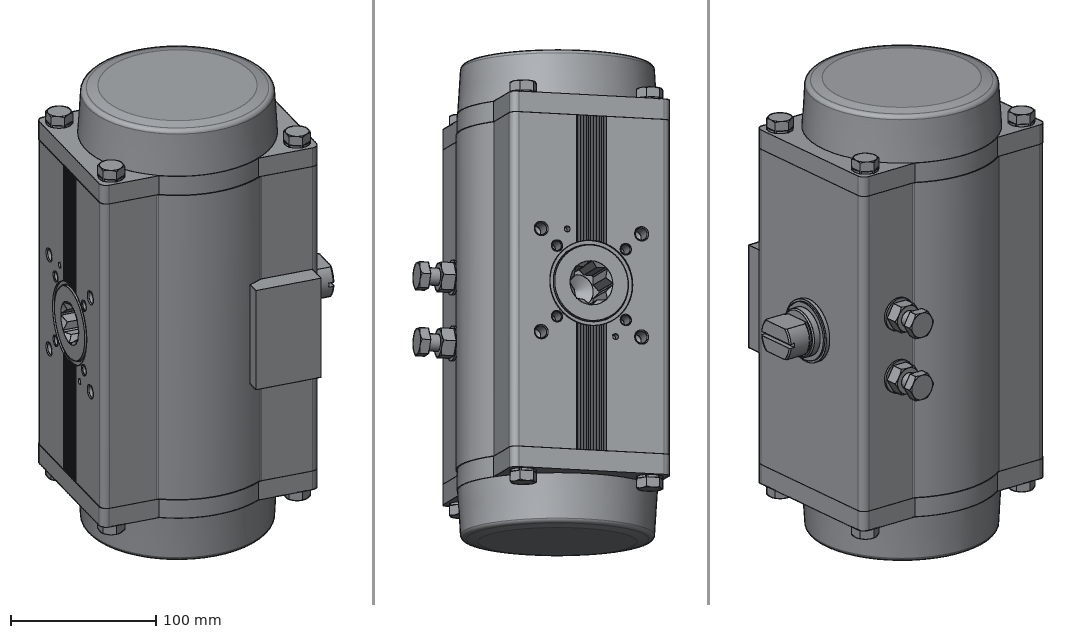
import cadquery as cq
import math


HALF_HEIGHT = 167.2
HOUSING_HALF_LENGTH = 117.0
PLATE_THICKNESS = 14.5
PLATE_TOP_Z = HOUSING_HALF_LENGTH + PLATE_THICKNESS
FACE_Y = 81.0
CAP_OVERHANG = 0.5
FRONT_HALF_WIDTH = 57.5
REAR_HALF_WIDTH = 59.5
CORNER_RADIUS = 5.5

BARREL_RADIUS = 70.0
BARREL_BLEND_RADIUS = 2.7
PAD_OUTER_X = 74.5
PAD_Y = (26.8, 75.5)
PAD_HALF_HEIGHT = 38.0
GROOVE_DIAMETER = 1.0
GROOVE_PITCH = 2.07
GROOVE_COUNT = 11
RECESS_DIAMETER = 59.5
RECESS_DEPTH = 1.5
OUTER_TAP_OFFSET = 36.0
OUTER_TAP_DIAMETER = 8.5
OUTER_TAP_MOUTH = 10.0
INNER_TAP_OFFSET = 24.7
INNER_TAP_DIAMETER = 6.7
INNER_TAP_MOUTH = 8.0
TAP_DEPTH = 15.0
DOWEL_X = 17.5
DOWEL_Z = 36.8
DOWEL_DIAMETER = 4.0
DOWEL_DEPTH = 6.7
DRILL_POINT_ANGLE = 118.0

CAP_PLATE_RADIUS = 69.2
DOME_BASE_RADIUS = 69.0
DOME_SHOULDER_RADIUS = 67.0
DOME_SHOULDER_DROP = 4.5
DOME_CROWN_RADIUS = 63.0
DOME_CROWN_DROP = 1.7
DOME_FLAT_RADIUS = 55.0
BOLT_Y = 69.2
FRONT_BOLT_X = 45.5
REAR_BOLT_X = 47.5
BOLT_FLATS = 16.5
BOLT_COLLAR_DIAMETER = 18.0
BOLT_COLLAR_HEIGHT = 1.7
BOLT_TOTAL_HEIGHT = 8.7
HEX_CHAMFER_ANGLE = 30.0

PINION_DIAMETER = 53.0
PINION_BORE = 54.2
PINION_SHOULDER_Y = 50.0
JOURNAL_DIAMETER = 42.0
FLANGE_DIAMETER = 45.5
FLANGE_STEP_Y = 84.0
FLANGE_TOP_Y = 85.3
COLLAR_DIAMETER = 35.0
COLLAR_TOP_Y = 91.3
COLLAR_CHAMFER = 1.0
NECK_DIAMETER = 30.8
NECK_TOP_Y = 93.3
DRIVE_DIAMETER = 32.5
DRIVE_FLATS = 22.7
DRIVE_TOP_Y = 110.7
DRIVE_CHAMFER = 1.0
SLOT_WIDTH = 3.0
SLOT_DEPTH = 4.0
SOCKET_FLATS = 22.7
SOCKET_MOUTH_DIAMETER = 30.8
SOCKET_DEPTH = 33.5

STOP_Y = 49.8
STOP_Z = 23.0
SCREW_DIAMETER = 12.0
SCREW_HEAD_X = -86.3
SCREW_HEAD_HEIGHT = 7.0
SCREW_FLATS = 18.0
SCREW_TIP_X = -40.0
NUT_OUTER_X = -71.0
NUT_FLATS = 19.0
NUT_COLLAR_DIAMETER = 24.0
NUT_COLLAR_HEIGHT = 1.7


def hex_corners(flats):
    return flats / math.cos(math.pi / 6)


def y_cylinder(diameter, y_start, y_end):
    """Cylinder along the pinion axis."""
    base = cq.Workplane("XZ", origin=(0, y_start, 0))
    return base.circle(diameter / 2).extrude(y_start - y_end)


def chamfered_hex(flats, height):
    """Hexagonal prism on Z = 0 with a corner along X and its top corners turned down."""
    corner_radius = hex_corners(flats) / 2
    turned_height = (corner_radius - flats / 2) * math.tan(math.radians(HEX_CHAMFER_ANGLE))
    prism = cq.Workplane("XY").polygon(6, 2 * corner_radius).extrude(height)
    turned = (
        cq.Workplane("XZ")
        .moveTo(0, 0)
        .lineTo(corner_radius, 0)
        .lineTo(corner_radius, height - turned_height)
        .lineTo(flats / 2, height)
        .lineTo(0, height)
        .close()
        .revolve(360, (0, 0), (0, 1))
    )
    return prism.intersect(turned)


def section(barrel_radius, front_depth, z_start, z_end):
    """Barrel with a narrower front block and a wider rear block, between two heights."""
    height = z_end - z_start
    plane = cq.Workplane("XY", origin=(0, 0, z_start))
    front = plane.center(0, -front_depth / 2).rect(2 * FRONT_HALF_WIDTH, front_depth).extrude(height)
    rear = plane.center(0, FACE_Y / 2).rect(2 * REAR_HALF_WIDTH, FACE_Y).extrude(height)
    front = front.edges("|Z and <Y").fillet(CORNER_RADIUS)
    rear = rear.edges("|Z and >Y").fillet(CORNER_RADIUS)
    return front.union(rear).union(plane.circle(barrel_radius).extrude(height))


def blend_barrel(body):
    """Fillet the four inner corners where the barrel leaves the flat sides."""
    for half_width, side in ((FRONT_HALF_WIDTH, -1), (REAR_HALF_WIDTH, 1)):
        corner_y = side * math.sqrt(BARREL_RADIUS**2 - half_width**2)
        for x in (-half_width, half_width):
            corner = cq.selectors.NearestToPointSelector((x, corner_y, 0))
            body = body.edges("|Z").edges(corner).fillet(BARREL_BLEND_RADIUS)
    return body


def front_drilling(x, z, diameter, depth, mouth):
    """Blind drilling into the front face with a conical bottom and a 45 degree mouth."""
    radius = diameter / 2
    mouth_depth = (mouth - diameter) / 2
    point = radius / math.tan(math.radians(DRILL_POINT_ANGLE / 2))
    tool = (
        cq.Workplane("XY")
        .moveTo(0, 0)
        .lineTo(mouth / 2, 0)
        .lineTo(radius, mouth_depth)
        .lineTo(radius, depth)
        .lineTo(0, depth + point)
        .close()
        .revolve(360, (0, 0), (0, 1))
    )
    return tool.translate((x, -FACE_Y, z))


def make_housing():
    body = blend_barrel(section(BARREL_RADIUS, FACE_Y, -HOUSING_HALF_LENGTH, HOUSING_HALF_LENGTH))

    pad_width = PAD_Y[1] - PAD_Y[0]
    pad = cq.Workplane("XY").box(PAD_OUTER_X, pad_width, 2 * PAD_HALF_HEIGHT)
    body = body.union(pad.translate((PAD_OUTER_X / 2, sum(PAD_Y) / 2, 0)))

    first_x = -(GROOVE_COUNT - 1) / 2 * GROOVE_PITCH
    groove_points = [(first_x + i * GROOVE_PITCH, -FACE_Y) for i in range(GROOVE_COUNT)]
    grooves = (
        cq.Workplane("XY", origin=(0, 0, -HOUSING_HALF_LENGTH))
        .pushPoints(groove_points)
        .circle(GROOVE_DIAMETER / 2)
        .extrude(2 * HOUSING_HALF_LENGTH)
    )
    body = body.cut(grooves)

    body = body.cut(y_cylinder(RECESS_DIAMETER, -FACE_Y, RECESS_DEPTH - FACE_Y))
    body = body.cut(y_cylinder(PINION_BORE, -FACE_Y, PINION_SHOULDER_Y))
    body = body.cut(y_cylinder(JOURNAL_DIAMETER, PINION_SHOULDER_Y, FACE_Y))

    for sx in (-1, 1):
        for sz in (-1, 1):
            for offset, diameter, mouth in (
                (OUTER_TAP_OFFSET, OUTER_TAP_DIAMETER, OUTER_TAP_MOUTH),
                (INNER_TAP_OFFSET, INNER_TAP_DIAMETER, INNER_TAP_MOUTH),
            ):
                body = body.cut(front_drilling(sx * offset, sz * offset, diameter, TAP_DEPTH, mouth))

    for side in (-1, 1):
        hole = y_cylinder(DOWEL_DIAMETER, -FACE_Y, DOWEL_DEPTH - FACE_Y)
        body = body.cut(hole.translate((side * DOWEL_X, 0, -side * DOWEL_Z)))

    for side in (-1, 1):
        body = body.cut(screw_shank(-REAR_HALF_WIDTH).translate((0, STOP_Y, side * STOP_Z)))
    return body


def make_cap():
    """Upper end cap: flange plate, tapered dome and four bolt heads."""
    cap = section(CAP_PLATE_RADIUS, FACE_Y + CAP_OVERHANG, HOUSING_HALF_LENGTH, PLATE_TOP_Z)

    shoulder_z = HALF_HEIGHT - DOME_SHOULDER_DROP
    crown_z = HALF_HEIGHT - DOME_CROWN_DROP
    bulge = math.sqrt(0.5)
    arc_mid = (
        DOME_CROWN_RADIUS + bulge * (DOME_SHOULDER_RADIUS - DOME_CROWN_RADIUS),
        shoulder_z + bulge * (crown_z - shoulder_z),
    )
    dome = (
        cq.Workplane("XZ")
        .moveTo(0, HOUSING_HALF_LENGTH)
        .lineTo(DOME_BASE_RADIUS, HOUSING_HALF_LENGTH)
        .lineTo(DOME_BASE_RADIUS, PLATE_TOP_Z)
        .lineTo(DOME_SHOULDER_RADIUS, shoulder_z)
        .threePointArc(arc_mid, (DOME_CROWN_RADIUS, crown_z))
        .lineTo(DOME_FLAT_RADIUS, HALF_HEIGHT)
        .lineTo(0, HALF_HEIGHT)
        .close()
        .revolve(360, (0, 0), (0, 1))
    )
    cap = cap.union(dome)

    head = chamfered_hex(BOLT_FLATS, BOLT_TOTAL_HEIGHT)
    head = head.union(cq.Workplane("XY").circle(BOLT_COLLAR_DIAMETER / 2).extrude(BOLT_COLLAR_HEIGHT))
    for x, y in ((FRONT_BOLT_X, -BOLT_Y), (REAR_BOLT_X, BOLT_Y)):
        for side in (-1, 1):
            cap = cap.union(head.translate((side * x, y, PLATE_TOP_Z)))
    return cap


def make_pinion():
    body = y_cylinder(PINION_DIAMETER, -FACE_Y, PINION_SHOULDER_Y)
    body = body.union(y_cylinder(JOURNAL_DIAMETER, PINION_SHOULDER_Y, FACE_Y))
    body = body.union(y_cylinder(FLANGE_DIAMETER, FACE_Y, FLANGE_STEP_Y))
    body = body.union(y_cylinder(JOURNAL_DIAMETER, FLANGE_STEP_Y, FLANGE_TOP_Y))
    collar = y_cylinder(COLLAR_DIAMETER, FLANGE_TOP_Y, COLLAR_TOP_Y)
    body = body.union(collar.faces(">Y").chamfer(COLLAR_CHAMFER))

    drive = y_cylinder(DRIVE_DIAMETER, NECK_TOP_Y, DRIVE_TOP_Y).faces(">Y").chamfer(DRIVE_CHAMFER)
    drive = drive.union(y_cylinder(NECK_DIAMETER, COLLAR_TOP_Y, NECK_TOP_Y))
    drive = drive.intersect(cq.Workplane("XY").box(DRIVE_DIAMETER, 2 * DRIVE_TOP_Y, DRIVE_FLATS))
    slot = cq.Workplane("XY").box(DRIVE_DIAMETER, 2 * SLOT_DEPTH, SLOT_WIDTH)
    body = body.union(drive.cut(slot.translate((0, DRIVE_TOP_Y, 0))))

    socket_plane = cq.Workplane("XZ", origin=(0, -FACE_Y, 0))
    square = socket_plane.rect(SOCKET_FLATS, SOCKET_FLATS).extrude(-SOCKET_DEPTH)
    star = square.union(square.rotate((0, 0, 0), (0, 1, 0), 45))
    star = star.intersect(y_cylinder(SOCKET_MOUTH_DIAMETER, -FACE_Y, SOCKET_DEPTH - FACE_Y))
    drilling = front_drilling(0, 0, SOCKET_FLATS, SOCKET_DEPTH, SOCKET_MOUTH_DIAMETER)
    return body.cut(star).cut(drilling)


def screw_shank(x_start):
    """Shank along X from the given place to the screw tip."""
    shank = cq.Workplane("YZ", origin=(x_start, 0, 0)).circle(SCREW_DIAMETER / 2)
    return shank.extrude(SCREW_TIP_X - x_start)


def facing_minus_x(part, base_x):
    """Turn a part built up along +Z so that it points along -X with a corner along Y."""
    part = part.rotate((0, 0, 0), (0, 0, 1), 90)
    return part.rotate((0, 0, 0), (0, 1, 0), -90).translate((base_x, 0, 0))


def make_stop_screw():
    head_base_x = SCREW_HEAD_X + SCREW_HEAD_HEIGHT
    head = facing_minus_x(chamfered_hex(SCREW_FLATS, SCREW_HEAD_HEIGHT), head_base_x)
    return head.union(screw_shank(head_base_x))


def make_lock_nut():
    nut_height = -REAR_HALF_WIDTH - NUT_OUTER_X
    nut = chamfered_hex(NUT_FLATS, nut_height)
    nut = nut.union(cq.Workplane("XY").circle(NUT_COLLAR_DIAMETER / 2).extrude(NUT_COLLAR_HEIGHT))
    return facing_minus_x(nut, -REAR_HALF_WIDTH).cut(screw_shank(NUT_OUTER_X))


housing = make_housing()
upper_cap = make_cap()
lower_cap = upper_cap.mirror("XY")
pinion = make_pinion()

stop_screws = []
lock_nuts = []
for stop_side in (-1, 1):
    stop_place = (0, STOP_Y, stop_side * STOP_Z)
    stop_screws.append(make_stop_screw().translate(stop_place))
    lock_nuts.append(make_lock_nut().translate(stop_place))

result = cq.Compound.makeCompound(
    [
        housing.val(),
        upper_cap.val(),
        lower_cap.val(),
        pinion.val(),
        *[screw.val() for screw in stop_screws],
        *[nut.val() for nut in lock_nuts],
    ]
)